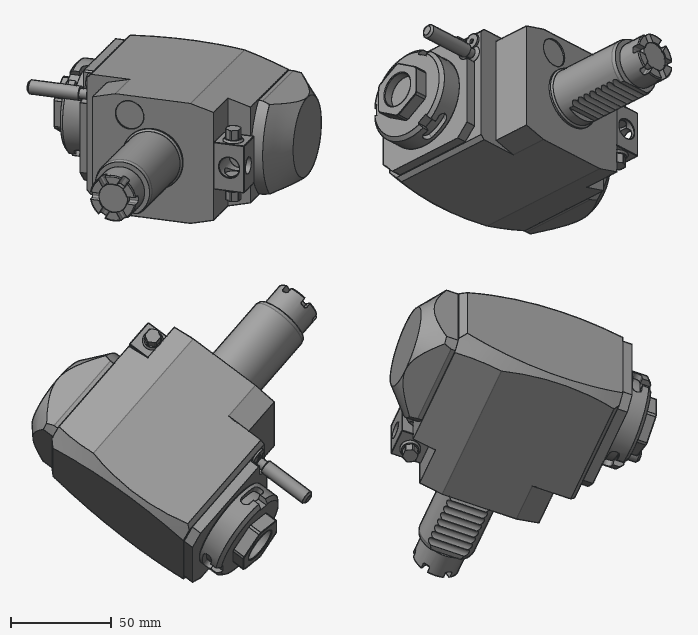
import cadquery as cq
import math

SPINDLE_Y = 55.2
HALF_HEIGHT = 32.0
TAPER = math.radians(15)

HOUSING_LEFT = -42.6
HOUSING_RIGHT = 43.9
HOUSING_FRONT = 21.2
HOUSING_BACK = 85.2
TAPER_START = 19.9
LEFT_BEVEL = 2.2
BACK_RIGHT_BEVEL = 3.3
CROWN_X = -10.2
CROWN_RADIUS = 168.5
CROWN_DEPTH = 1.7

SHOULDER_HALF = 32.0
RECESS_X = -12.4
RECESS_Z = 21.6
RECESS_RADIUS = 7.5
RECESS_DEPTH = 0.9

COLLAR_RADIUS = 16.0
COLLAR_LENGTH = 1.0
COLLAR_BEVEL = 0.9
SHANK_RADIUS = 15.0
SHANK_END = 44.8
SHANK_BEVEL = 0.6
SHANK_BEVEL_LENGTH = 1.9
NECK_RADIUS = 9.0
COLLET_START = 45.6
COLLET_END = 58.8
COLLET_RADIUS = 12.1
COLLET_BEVEL = 0.6
COLLET_CORE_RADIUS = 7.5
COLLET_SLOTS = 6
COLLET_SLOT_WIDTH = 3.9
COLLET_SLOT_DEPTH = 3.9
COLLET_SLOT_FILLET = 1.0
COLLET_CORE_RECESS = 0.7
FLAT_START = 7.2
FLAT_Z = -12.1
TOOTH_START = 10.1
TOOTH_PITCH = 4.0
TOOTH_DEPTH = 1.7
TOOTH_COUNT = 8

PLATE_LEFT = -48.0
PLATE_HALF = 29.4
PLATE_BEVEL = 6.5
RING_LEFT = -60.8
RING_RADIUS = 24.5
RING_BEVEL = 1.9
RING_BACK_BEVEL = 0.5
RING_FLOOR_RADIUS = 21.3
RING_NOTCHES = 3
RING_NOTCH_WIDTH = 6.0
RING_SLOT_X = -52.8
RING_SLOT_WIDTH = 5.2
RING_SLOT_LENGTH = 16.7
HEX_LEFT = -67.5
HEX_FLATS = 26.5
HEX_EDGE = 0.9
HEX_FACE_BEVEL = 0.3
HEX_BORE = 9.0
HEX_BORE_DEPTH = 5.0
HEX_RIM_BEVEL = 0.5

PIN_Y = 26.6
PIN_Z = 18.9
PIN_RADIUS = 3.6
PIN_TIP = -75.3
PIN_BEVEL = 1.2
PIN_NECK_RADIUS = 2.6
PIN_FLARE_RADIUS = 4.3
PIN_FLARE_LENGTH = 1.3
PIN_CLEARANCE = 4.8
SCREW_Z = 26.0
SCREW_RADIUS = 4.0
SCREW_HEIGHT = 1.2
SCREW_SOCKET = 1.2

END_RADIUS = 33.4
END_CYLINDER_RIGHT = 50.1
END_RIGHT = 61.6
END_FACE_RADIUS = 20.7
END_BACK = 81.2
END_TAPER_START = 46.2

COOLANT_RIGHT = 47.8
COOLANT_FRONT = 1.0
COOLANT_BACK = 16.0
COOLANT_HALF = 12.5
COOLANT_HOLE_X = 39.9
COOLANT_HOLE_RADIUS = 5.3
COOLANT_EDGE_BREAK = 0.3
COOLANT_RIM_BEVEL = 0.3
COOLANT_SIDE_RADIUS = 4.3
COOLANT_CROSS_RADIUS = 4.3
COOLANT_CROSS_HALF = 5.6
FITTING_Y = 7.2
FITTING_FLANGE = 5.2
FITTING_FLANGE_HEIGHT = 1.2
FITTING_FLANGE_TOP = 4.3
FITTING_FLATS = 7.0
FITTING_EDGE = 0.5
FITTING_TOP = 18.9


def box(x0, x1, y0, y1, z0, z1):
    """Box given by its two limits on each axis."""
    return cq.Workplane("XY").box(x1 - x0, y1 - y0, z1 - z0, centered=False).translate((x0, y0, z0))


def cylinder_x(radius, x0, x1, y, z):
    """Cylinder parallel to X."""
    return cq.Workplane("YZ").center(y, z).circle(radius).extrude(x1 - x0).translate((x0, 0, 0))


def cylinder_y(radius, y0, y1, x, z):
    """Cylinder parallel to Y."""
    return cq.Workplane("XZ").center(x, z).circle(radius).extrude(y0 - y1).translate((0, y0, 0))


def taper_z(x):
    """Half height of the housing on its tapered right part."""
    return HALF_HEIGHT - (x - TAPER_START) * math.tan(TAPER)


def mirrored_outline(upper, y0, y1):
    """Prism along Y whose XZ outline is `upper` plus its mirror image below Z = 0."""
    lower = [(x, -z) for x, z in reversed(upper)]
    return cq.Workplane("XZ").polyline(upper + lower).close().extrude(y0 - y1).translate((0, y0, 0))


def housing():
    upper = [
        (HOUSING_LEFT, HALF_HEIGHT - LEFT_BEVEL),
        (HOUSING_LEFT + LEFT_BEVEL, HALF_HEIGHT),
        (TAPER_START, HALF_HEIGHT),
        (HOUSING_RIGHT, taper_z(HOUSING_RIGHT)),
    ]
    body = mirrored_outline(upper, HOUSING_FRONT, HOUSING_BACK)
    body = body.edges(">X and >Y").chamfer(BACK_RIGHT_BEVEL)
    for side in (1, -1):
        body = body.intersect(crown(side))
    return body


def crown(side):
    """Large cylinder whose axis leans 45 degrees; it rounds off one long back edge."""
    plane = cq.Plane(
        origin=(CROWN_X, HOUSING_BACK, side * HALF_HEIGHT), xDir=(1, 0, 0), normal=(0, 1, -side)
    )
    inward = side * (CROWN_RADIUS + CROWN_DEPTH)
    length = 4 * HALF_HEIGHT
    return cq.Workplane(plane).center(0, inward).circle(CROWN_RADIUS).extrude(length, both=True)


def shoulder():
    end_z = taper_z(SHOULDER_HALF)
    upper = [
        (-SHOULDER_HALF, end_z),
        (-TAPER_START, HALF_HEIGHT),
        (TAPER_START, HALF_HEIGHT),
        (SHOULDER_HALF, end_z),
    ]
    block = mirrored_outline(upper, 0, HOUSING_FRONT)
    return block.cut(cylinder_y(RECESS_RADIUS, 0, RECESS_DEPTH, RECESS_X, RECESS_Z))


def shank():
    profile = [
        (0, 0),
        (COLLAR_RADIUS, 0),
        (COLLAR_RADIUS, -COLLAR_LENGTH),
        (SHANK_RADIUS, -COLLAR_LENGTH - COLLAR_BEVEL),
        (SHANK_RADIUS, -SHANK_END + SHANK_BEVEL_LENGTH),
        (SHANK_RADIUS - SHANK_BEVEL, -SHANK_END),
        (NECK_RADIUS, -SHANK_END),
        (NECK_RADIUS, -COLLET_START),
        (0, -COLLET_START),
    ]
    body = cq.Workplane("XY").polyline(profile).close().revolve(360, (0, 0), (0, 1))
    flat = box(-SHANK_RADIUS, SHANK_RADIUS, -SHANK_END, -FLAT_START, -HALF_HEIGHT, FLAT_Z)
    body = body.cut(flat)
    half_gap = TOOTH_PITCH / 2
    radius = (half_gap**2 + TOOTH_DEPTH**2) / (2 * TOOTH_DEPTH)
    center_z = FLAT_Z + TOOTH_DEPTH - radius
    for i in range(TOOTH_COUNT):
        y = -TOOTH_START - half_gap - i * TOOTH_PITCH
        body = body.cut(cylinder_x(radius, -SHANK_RADIUS, SHANK_RADIUS, y, center_z))
    return body


def collet_nut():
    nut = cylinder_y(COLLET_RADIUS, -COLLET_END, -COLLET_START, 0, 0)
    nut = nut.faces("<Y").chamfer(COLLET_BEVEL)
    floor = -COLLET_END + COLLET_SLOT_DEPTH
    half_width = COLLET_SLOT_WIDTH / 2
    slot = box(0, COLLET_RADIUS, -COLLET_END, floor, -half_width, half_width)
    slot = slot.edges("|X and >Y").fillet(COLLET_SLOT_FILLET)
    for i in range(COLLET_SLOTS):
        nut = nut.cut(slot.rotate((0, 0, 0), (0, 1, 0), i * 360 / COLLET_SLOTS))
    face = -COLLET_END + COLLET_CORE_RECESS
    nut = nut.cut(cylinder_y(COLLET_CORE_RADIUS, -COLLET_END, face, 0, 0))
    return nut.union(cylinder_y(COLLET_CORE_RADIUS, face, -COLLET_START, 0, 0))


def plate():
    square = box(
        PLATE_LEFT, HOUSING_LEFT,
        SPINDLE_Y - PLATE_HALF, SPINDLE_Y + PLATE_HALF,
        -PLATE_HALF, PLATE_HALF,
    ).edges("|X").chamfer(PLATE_BEVEL)
    pocket = box(PLATE_LEFT, HOUSING_LEFT, 0, PIN_Y + PIN_CLEARANCE, PIN_Z - PIN_CLEARANCE, HALF_HEIGHT)
    pocket = pocket.edges("|X and >Y and <Z").fillet(PIN_CLEARANCE)
    return square.cut(pocket)


def ring_nut():
    ring = cylinder_x(RING_RADIUS, RING_LEFT, PLATE_LEFT, SPINDLE_Y, 0)
    ring = ring.faces("<X").chamfer(RING_BEVEL).faces(">X").chamfer(RING_BACK_BEVEL)
    floor_y = SPINDLE_Y + RING_FLOOR_RADIUS
    notch = box(
        RING_LEFT, RING_SLOT_X,
        floor_y, SPINDLE_Y + RING_RADIUS,
        -RING_NOTCH_WIDTH / 2, RING_NOTCH_WIDTH / 2,
    )
    slot = (
        cq.Workplane("XZ", origin=(RING_SLOT_X, SPINDLE_Y, 0))
        .slot2D(RING_SLOT_LENGTH, RING_SLOT_WIDTH, 90)
        .extrude(-RING_RADIUS)
    )
    slot = slot.cut(cylinder_x(RING_FLOOR_RADIUS, RING_LEFT, PLATE_LEFT, SPINDLE_Y, 0))
    cutter = notch.union(slot)
    for i in range(RING_NOTCHES):
        angle = i * 360 / RING_NOTCHES
        ring = ring.cut(cutter.rotate((0, SPINDLE_Y, 0), (1, SPINDLE_Y, 0), angle))
    return ring


def hexagon():
    head = (
        cq.Workplane("YZ", origin=(HEX_LEFT, SPINDLE_Y, 0))
        .polygon(6, HEX_FLATS, circumscribed=True)
        .extrude(RING_LEFT - HEX_LEFT)
    )
    head = head.edges("|X").chamfer(HEX_EDGE)
    head = head.faces("<X").chamfer(HEX_FACE_BEVEL)
    head = head.cut(cylinder_x(HEX_BORE, HEX_LEFT, HEX_LEFT + HEX_BORE_DEPTH, SPINDLE_Y, 0))
    return head.faces("<X").edges("%CIRCLE").chamfer(HEX_RIM_BEVEL)


def pin():
    body = cylinder_x(PIN_RADIUS, PIN_TIP, PLATE_LEFT, PIN_Y, PIN_Z).faces("<X").chamfer(PIN_BEVEL)
    neck = cylinder_x(PIN_NECK_RADIUS, PLATE_LEFT, HOUSING_LEFT, PIN_Y, PIN_Z)
    flare = (
        cq.Workplane("YZ", origin=(HOUSING_LEFT, PIN_Y, PIN_Z))
        .circle(PIN_FLARE_RADIUS)
        .workplane(offset=-PIN_FLARE_LENGTH)
        .circle(PIN_NECK_RADIUS)
        .loft(ruled=True)
    )
    return body.union(neck).union(flare)


def screw():
    left = HOUSING_LEFT - SCREW_HEIGHT
    head = cylinder_x(SCREW_RADIUS, left, HOUSING_LEFT, PIN_Y, SCREW_Z)
    return head.cut(cylinder_x(SCREW_SOCKET, left, HOUSING_LEFT, PIN_Y, SCREW_Z))


def round_end():
    profile = [
        (HOUSING_RIGHT, 0),
        (HOUSING_RIGHT, END_RADIUS),
        (END_CYLINDER_RIGHT, END_RADIUS),
        (END_RIGHT, END_FACE_RADIUS),
        (END_RIGHT, 0),
    ]
    turned = cq.Workplane("XY").polyline(profile).close().revolve(360, (0, 0), (1, 0))
    turned = turned.translate((0, SPINDLE_Y, 0))
    upper = [
        (HOUSING_RIGHT, taper_z(END_TAPER_START)),
        (END_TAPER_START, taper_z(END_TAPER_START)),
        (END_RIGHT, taper_z(END_RIGHT)),
    ]
    return turned.intersect(mirrored_outline(upper, 0, END_BACK))


def coolant_block():
    block = box(
        SHOULDER_HALF, COOLANT_RIGHT,
        COOLANT_FRONT, COOLANT_BACK,
        -COOLANT_HALF, COOLANT_HALF,
    )
    block = block.edges("not <X").chamfer(COOLANT_EDGE_BREAK)
    block = block.cut(cylinder_y(COOLANT_HOLE_RADIUS, COOLANT_FRONT, COOLANT_BACK, COOLANT_HOLE_X, 0))
    block = block.faces("<Y").edges("%CIRCLE").chamfer(COOLANT_RIM_BEVEL)
    block = block.cut(cylinder_x(COOLANT_SIDE_RADIUS, COOLANT_HOLE_X, COOLANT_RIGHT, FITTING_Y, 0))
    cross = cq.Workplane("XY").center(COOLANT_HOLE_X, FITTING_Y).circle(COOLANT_CROSS_RADIUS)
    block = block.cut(cross.extrude(COOLANT_CROSS_HALF, both=True))
    flange = (
        cq.Workplane("XY", origin=(COOLANT_HOLE_X, FITTING_Y, COOLANT_HALF))
        .circle(FITTING_FLANGE)
        .workplane(offset=FITTING_FLANGE_HEIGHT)
        .circle(FITTING_FLANGE_TOP)
        .loft(ruled=True)
    )
    head = (
        cq.Workplane("XY")
        .polygon(6, FITTING_FLATS, circumscribed=True)
        .extrude(FITTING_TOP - COOLANT_HALF)
        .edges("|Z")
        .chamfer(FITTING_EDGE)
        .translate((COOLANT_HOLE_X, FITTING_Y, COOLANT_HALF))
    )
    fitting = flange.union(head)
    return block.union(fitting).union(fitting.mirror("XY"))


result = housing()
for part in (
    shoulder(), shank(), collet_nut(), plate(), ring_nut(), hexagon(),
    pin(), screw(), round_end(), coolant_block(),
):
    result = result.union(part)